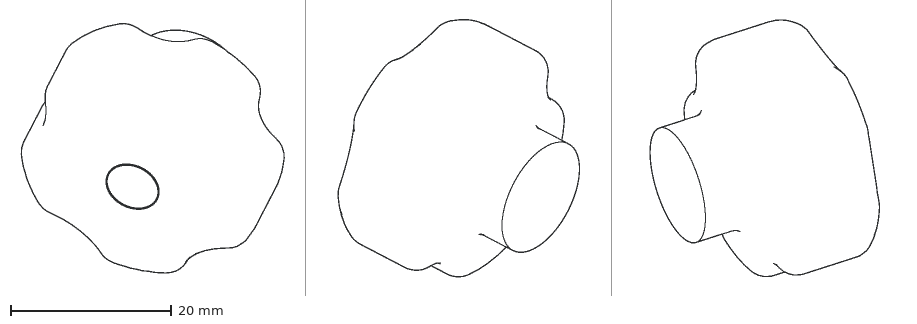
import cadquery as cq
import math

lobe_count = 5
head_radius = 15.98
scallop_radius = 6.5
scallop_depth = 2.45
lobe_corner_radius = 3.0
edge_round = 2.93
total_length = 23.0
hub_radius = 7.53
hub_length = 8.0
hub_fillet = 3.0
dome_radius = 51.02
cap_radius = 3.48
cap_gap = 0.13
cap_groove_depth = 0.1

head_length = total_length - hub_length
pitch_angle = 360 / lobe_count
flat_radius = cap_radius - cap_gap / 2
flat_depth = dome_radius - math.sqrt(dome_radius**2 - flat_radius**2)


def polar(radius, angle):
    """Point in the outline plane at an angle in degrees."""
    return (radius * math.cos(math.radians(angle)), radius * math.sin(math.radians(angle)))


def lobed_outline():
    """Outer arcs joined to concave scallops by tangent corner arcs, on the XZ plane."""
    scallop_floor = head_radius - scallop_depth
    scallop_distance = scallop_floor + scallop_radius
    corner_distance = head_radius - lobe_corner_radius
    corner_to_scallop = scallop_radius + lobe_corner_radius
    corner_angle = math.degrees(math.acos(
        (corner_distance**2 + scallop_distance**2 - corner_to_scallop**2)
        / (2 * corner_distance * scallop_distance)))

    def corner_points(scallop_angle, side):
        """Scallop tangent point, arc middle and rim tangent point of one corner."""
        rim_angle = scallop_angle + side * corner_angle
        cx, cz = polar(corner_distance, rim_angle)
        sx, sz = polar(scallop_distance, scallop_angle)
        inward = math.degrees(math.atan2(sz - cz, sx - cx))
        turn = (rim_angle - inward + 180) % 360 - 180
        dx, dz = polar(lobe_corner_radius, inward)
        mx, mz = polar(lobe_corner_radius, inward + turn / 2)
        return (cx + dx, cz + dz), (cx + mx, cz + mz), polar(head_radius, rim_angle)

    first_angle = 90
    outline = cq.Workplane("XZ").moveTo(*corner_points(first_angle, -1)[2])
    for i in range(lobe_count):
        angle = first_angle + i * pitch_angle
        start, start_middle, _ = corner_points(angle, -1)
        end, end_middle, rim = corner_points(angle, 1)
        next_rim = corner_points(angle + pitch_angle, -1)[2]
        outline = (
            outline.threePointArc(start_middle, start)
            .threePointArc(polar(scallop_floor, angle), end)
            .threePointArc(end_middle, rim)
            .threePointArc(polar(head_radius, angle + pitch_angle / 2), next_rim)
        )
    return outline.close()


def head():
    """Lobed block with a spherical front levelled in the middle, rounded along both rims."""
    dome_centre = dome_radius - head_length - flat_depth
    dome = cq.Workplane("XY").sphere(dome_radius).translate((0, dome_centre, 0))
    block = lobed_outline().extrude(head_length + flat_depth).intersect(dome)
    rounded = block.edges("not |Y").fillet(edge_round)
    levelling_tool = cq.Workplane("XZ", origin=(0, -head_length, 0)).circle(head_radius).extrude(head_length)
    return rounded.cut(levelling_tool)


def hub():
    """Round hub whose foot flares into the head's back face."""
    foot_radius = hub_radius + hub_fillet
    fillet_offset = hub_fillet * (1 - math.sqrt(0.5))
    overlap = edge_round
    return (
        cq.Workplane("XY")
        .moveTo(0, -overlap)
        .lineTo(foot_radius, -overlap)
        .lineTo(foot_radius, 0)
        .threePointArc((hub_radius + fillet_offset, fillet_offset), (hub_radius, hub_fillet))
        .lineTo(hub_radius, hub_length)
        .lineTo(0, hub_length)
        .close()
        .revolve(360, (0, 0, 0), (0, 1, 0))
    )


def cap_groove():
    """Fine ring around the cap in the middle of the dome."""
    return (
        cq.Workplane("XZ", origin=(0, -head_length + cap_groove_depth, 0))
        .circle(cap_radius)
        .circle(cap_radius - cap_gap)
        .extrude(head_length)
    )


result = head().union(hub()).cut(cap_groove())